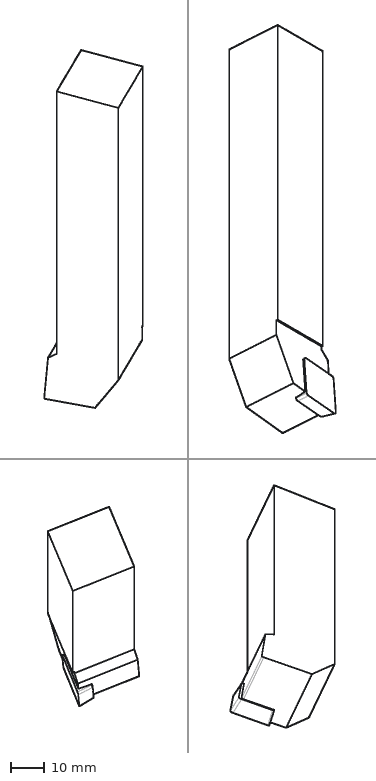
import cadquery as cq
import math

overall_width = 25.4
overall_height = 126.4
shank_width = 19.8
shank_depth = 19.8
shank_left = overall_width - shank_width

crank_top = 20.6
crank_bottom = 18.1
head_left = 2.8
head_tip_x = 1.5
head_tip_z = 1.1
head_tip_radius = 0.5
heel_x = 18.0
heel_z = 2.9
heel_bevel_top = 16.5
head_step_drop = 0.5
head_step_z = 21.7

insert_top_y = 20.0
insert_thickness = 4.9
insert_side = 12.9
nose_radius = 0.8
nose_angle = 80.0
lead_angle = 5.0
clearance_angle = 7.0


def make_insert():
    """Rhombic insert whose lower left nose touches X = 0 and Z = 0."""
    half_angle = math.radians(nose_angle / 2)
    bisector = math.radians(lead_angle) + half_angle
    nose_to_corner = nose_radius / math.sin(half_angle)
    corner = cq.Vector(
        nose_radius - nose_to_corner * math.cos(bisector),
        nose_radius - nose_to_corner * math.sin(bisector),
    )

    def along_edge(angle):
        return cq.Vector(insert_side * math.cos(angle), insert_side * math.sin(angle))

    bottom_edge = along_edge(bisector - half_angle)
    side_edge = along_edge(bisector + half_angle)
    corners = [corner, corner + bottom_edge, corner + bottom_edge + side_edge, corner + side_edge]
    return (
        cq.Workplane("XZ", origin=(0, insert_top_y, 0))
        .polyline([(point.x, point.y) for point in corners])
        .close()
        .extrude(insert_thickness, taper=clearance_angle)
        .edges("not #Y")
        .fillet(nose_radius)
    )


def make_holder(insert):
    """Cranked shank with a rounded tip, a lowered head face and a pocket that fits the insert."""
    outline = [
        (shank_left, overall_height),
        (overall_width, overall_height),
        (overall_width, heel_bevel_top),
        (heel_x, heel_z),
        (head_tip_x, head_tip_z),
        (head_left, crank_bottom),
        (shank_left, crank_top),
    ]
    bar = cq.Workplane("XZ").polyline(outline).close().extrude(-shank_depth)
    bar = bar.edges("|Y and <Z").fillet(head_tip_radius)
    head_step = cq.Workplane("XY").box(
        overall_width, head_step_drop, head_step_z, centered=False
    ).translate((0, shank_depth - head_step_drop, 0))
    return bar.cut(head_step).cut(insert)


insert = make_insert()
holder = make_holder(insert)
result = cq.Compound.makeCompound([holder.val(), insert.val()])